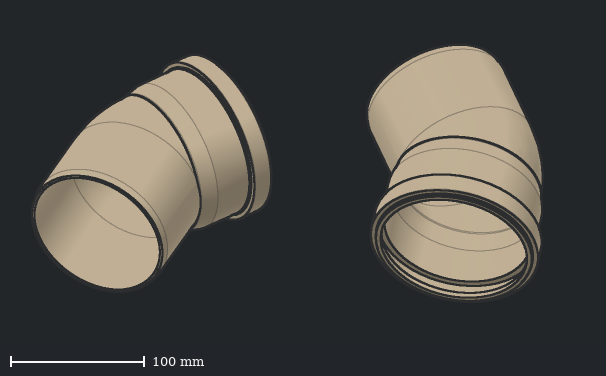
import cadquery as cq
import math

spigot_radius = 110.2 / 2
bore_radius = 103.1 / 2
spigot_length = 66.0
spigot_chamfer_length = 6.2
spigot_chamfer_depth = 1.4

bend_angle = 30
bend_radius = 55.3

collar_radius = 111.0 / 2
collar_length = 1.5
socket_radius = 117.4 / 2
socket_bore_radius = 110.7 / 2
cone_end = 12.8
bore_cone_start = 1.2
bore_cone_end = 14.8
bead_radius = 127.2 / 2
bead_foot_radius = 119.3 / 2
bead_start = 42.8
bead_foot_length = 1.2
bead_end = 58.5
bead_chamfer_length = 1.0
bead_chamfer_depth = 0.2
lip_radius = 118.3 / 2
lip_shoulder_end = 59.3
lip_bore_radius = collar_radius
socket_end = 61.0

groove_radius = 120.7 / 2
groove_start = 45.2
groove_end = 56.3


def turned(points):
    """Solid of revolution about Y from an open (radius, station) outline."""
    outline = [(0, points[0][1])] + points + [(0, points[-1][1])]
    return cq.Workplane("XY").polyline(outline).close().revolve(360, (0, 0), (0, 1))


def elbow(radius):
    """Torus segment joining the spigot to the socket."""
    return (
        cq.Workplane("XZ", origin=(0, spigot_length, 0))
        .circle(radius)
        .revolve(bend_angle, (bend_radius, 0), (bend_radius, -1))
    )


def place_on_elbow_end(body):
    """Move a body built along Y from the origin to the far end of the elbow."""
    angle = math.radians(bend_angle)
    end_x = bend_radius * (1 - math.cos(angle))
    end_y = spigot_length + bend_radius * math.sin(angle)
    return body.rotate((0, 0, 0), (0, 0, 1), -bend_angle).translate((end_x, end_y, 0))


spigot_outside = turned([
    (spigot_radius - spigot_chamfer_depth, 0),
    (spigot_radius, spigot_chamfer_length),
    (spigot_radius, spigot_length),
])
spigot_inside = turned([(bore_radius, 0), (bore_radius, spigot_length)])

socket_outside = turned([
    (collar_radius, -collar_length),
    (collar_radius, 0),
    (socket_radius, cone_end),
    (socket_radius, bead_start - bead_foot_length),
    (bead_foot_radius, bead_start),
    (bead_radius - bead_chamfer_depth, bead_start),
    (bead_radius, bead_start + bead_chamfer_length),
    (bead_radius, bead_end - bead_chamfer_length),
    (bead_radius - bead_chamfer_depth, bead_end),
    (bead_foot_radius, bead_end),
    (lip_radius, lip_shoulder_end),
    (lip_radius, socket_end),
])
socket_inside = turned([
    (bore_radius, 0),
    (bore_radius, bore_cone_start),
    (socket_bore_radius, bore_cone_end),
    (socket_bore_radius, groove_start),
    (groove_radius, groove_start),
    (groove_radius, groove_end),
    (lip_bore_radius, groove_end),
    (lip_bore_radius, socket_end),
])

outside = spigot_outside.union(elbow(spigot_radius)).union(place_on_elbow_end(socket_outside))
inside = spigot_inside.union(elbow(bore_radius)).union(place_on_elbow_end(socket_inside))
result = outside.cut(inside)